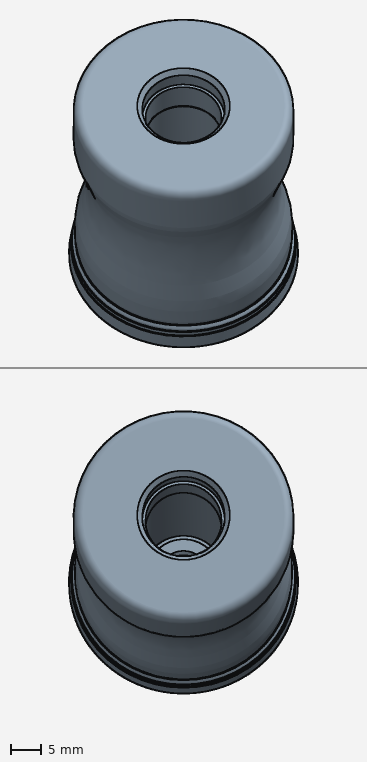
import cadquery as cq
import math

TOTAL_HEIGHT = 44.45
SEAM_HEIGHT = 6.75

HEAD_RADIUS = 18.25
HEAD_LOWER_HEIGHT = 34.5
NECK_CORNER_RADIUS = 14.95
NECK_CORNER_HEIGHT = 23.83
SKIRT_RADIUS = 18.05
SKIRT_UPPER_HEIGHT = 12.05
SKIRT_LOWER_HEIGHT = 7.55
SKIRT_TAPER_ANGLE = 12.0
HEAD_TOP_ROUND = 1.5
HEAD_LOWER_ROUND = 5.0
NECK_ROUND = 26.0
SKIRT_UPPER_ROUND = 10.0
SKIRT_LOWER_ROUND = 1.8

MOUTH_RADIUS = 6.85
MOUTH_CHAMFER = 0.85
MOUTH_DEPTH = 3.5
BORE_RADIUS = 6.3
BORE_DEPTH = 8.9
CAVITY_RADIUS = MOUTH_RADIUS
CAVITY_CONE_HEIGHT = 1.0

FOOT_TOP_RADIUS = 18.0
FOOT_RIM_HEIGHT = 0.15
SHOULDER_RADIUS = 18.5
SHOULDER_HEIGHT = 6.15
SHOULDER_ROUND = 0.55
FOOT_FLARE_ANGLE = 8.0
FOOT_CORNER_HEIGHT = 1.45
FOOT_LOWER_ROUND = 1.0
UNDERSIDE_RADIUS = 13.95

GROOVE_HEIGHTS = (5.65, 4.62)
GROOVE_WIDTH = 0.2
GROOVE_DEPTH = 0.1

BOSS_RADIUS = 6.0
BOSS_HEIGHT = 0.9
SCREW_HOLE_RADIUS = 3.42
SCREW_HOLE_CHAMFER = 0.6


def revolve_profile(points):
    """Turn a closed (radius, height) outline about the Z axis."""
    return cq.Workplane("XZ").polyline(points).close().revolve(360, (0, 0, 0), (0, 1, 0))


def round_ring(body, height, radius):
    """Round the circular edge centred on the Z axis at the given height."""
    return body.edges(cq.selectors.NearestToPointSelector((0, 0, height))).fillet(radius)


def make_grip():
    """Waisted grip with a stepped bore that widens into a cavity open at the bottom."""
    taper = (SKIRT_LOWER_HEIGHT - SEAM_HEIGHT) * math.tan(math.radians(SKIRT_TAPER_ANGLE))
    grip = revolve_profile([
        (0, SEAM_HEIGHT),
        (SKIRT_RADIUS - taper, SEAM_HEIGHT),
        (SKIRT_RADIUS, SKIRT_LOWER_HEIGHT),
        (SKIRT_RADIUS, SKIRT_UPPER_HEIGHT),
        (NECK_CORNER_RADIUS, NECK_CORNER_HEIGHT),
        (HEAD_RADIUS, HEAD_LOWER_HEIGHT),
        (HEAD_RADIUS, TOTAL_HEIGHT),
        (0, TOTAL_HEIGHT),
    ])
    for height, radius in (
        (NECK_CORNER_HEIGHT, NECK_ROUND),
        (HEAD_LOWER_HEIGHT, HEAD_LOWER_ROUND),
        (SKIRT_UPPER_HEIGHT, SKIRT_UPPER_ROUND),
        (SKIRT_LOWER_HEIGHT, SKIRT_LOWER_ROUND),
        (TOTAL_HEIGHT, HEAD_TOP_ROUND),
    ):
        grip = round_ring(grip, height, radius)

    ledge_height = TOTAL_HEIGHT - MOUTH_DEPTH
    bore_end_height = TOTAL_HEIGHT - BORE_DEPTH
    bore = revolve_profile([
        (0, SEAM_HEIGHT),
        (CAVITY_RADIUS, SEAM_HEIGHT),
        (CAVITY_RADIUS, bore_end_height - CAVITY_CONE_HEIGHT),
        (BORE_RADIUS, bore_end_height),
        (BORE_RADIUS, ledge_height),
        (MOUTH_RADIUS, ledge_height),
        (MOUTH_RADIUS, TOTAL_HEIGHT - MOUTH_CHAMFER),
        (MOUTH_RADIUS + MOUTH_CHAMFER, TOTAL_HEIGHT),
        (0, TOTAL_HEIGHT),
    ])
    return grip.cut(bore)


def flare_radius(height):
    """Outer radius of the flared foot at a height below its shoulder."""
    return SHOULDER_RADIUS + (SHOULDER_HEIGHT - height) * math.tan(math.radians(FOOT_FLARE_ANGLE))


def make_groove(height):
    """Cutting ring for one fine groove centred at the given height."""
    inner_radius = flare_radius(height) - GROOVE_DEPTH
    outer_radius = flare_radius(height) + GROOVE_DEPTH
    return (
        cq.Workplane("XY", origin=(0, 0, height - GROOVE_WIDTH / 2))
        .circle(outer_radius)
        .circle(inner_radius)
        .extrude(GROOVE_WIDTH)
    )


def make_foot():
    """Flared foot with fine grooves, a low boss and a chamfered screw hole."""
    foot = revolve_profile([
        (0, 0),
        (UNDERSIDE_RADIUS, 0),
        (flare_radius(FOOT_CORNER_HEIGHT), FOOT_CORNER_HEIGHT),
        (SHOULDER_RADIUS, SHOULDER_HEIGHT),
        (FOOT_TOP_RADIUS, SEAM_HEIGHT - FOOT_RIM_HEIGHT),
        (FOOT_TOP_RADIUS, SEAM_HEIGHT),
        (0, SEAM_HEIGHT),
    ])
    foot = round_ring(foot, FOOT_CORNER_HEIGHT, FOOT_LOWER_ROUND)
    foot = round_ring(foot, SHOULDER_HEIGHT, SHOULDER_ROUND)
    for height in GROOVE_HEIGHTS:
        foot = foot.cut(make_groove(height))

    boss = cq.Workplane("XY", origin=(0, 0, SEAM_HEIGHT)).circle(BOSS_RADIUS).extrude(BOSS_HEIGHT)
    boss_top = SEAM_HEIGHT + BOSS_HEIGHT
    screw_hole = revolve_profile([
        (0, 0),
        (SCREW_HOLE_RADIUS, 0),
        (SCREW_HOLE_RADIUS, boss_top - SCREW_HOLE_CHAMFER),
        (SCREW_HOLE_RADIUS + SCREW_HOLE_CHAMFER, boss_top),
        (0, boss_top),
    ])
    return foot.union(boss).cut(screw_hole)


grip = make_grip()
foot = make_foot()

result = cq.Compound.makeCompound([grip.val(), foot.val()])